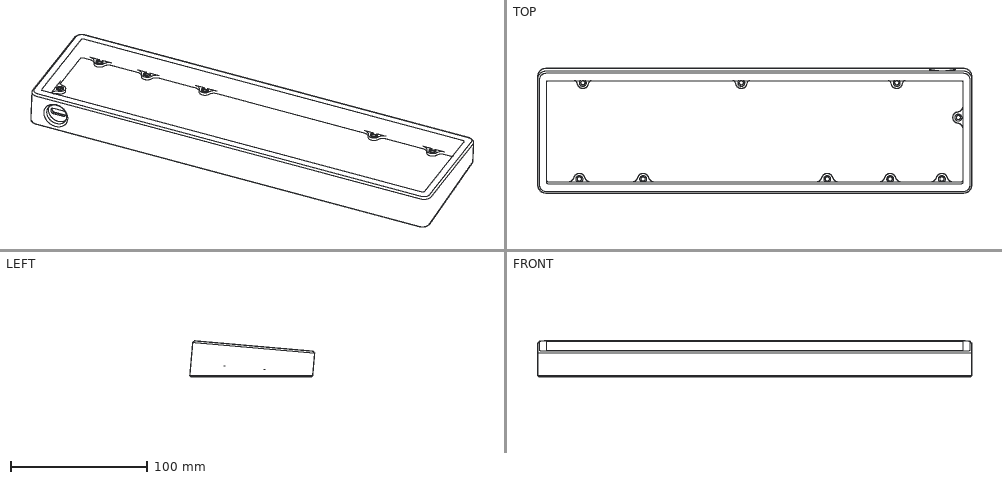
import cadquery as cq
import math


LENGTH = 319.2
OVERALL_HEIGHT = 26.5
OVERALL_DEPTH = 92.0
TILT = 5.0
CORNER_RADIUS = 6.0
RIM_CHAMFER = 1.45
BOTTOM_CHAMFER = 1.0

SIDE_WALL = 6.5
END_WALL = 7.0
CAVITY_DEPTH = 16.5
CAVITY_RADIUS = 1.5

BOSS_RADIUS = 4.0
BOSS_HEIGHT = 2.2
FRONT_OFFSET = 2.2
BACK_OFFSET = 3.0
RIGHT_OFFSET = 3.5
BLEND_RADIUS = 4.8
HOLE_DIAMETER = 3.1
COUNTERBORE_DIAMETER = 5.0
COUNTERBORE_DEPTH = 1.0
BACK_BOSSES = (-126.5, -10.0, 104.5)
FRONT_BOSSES = (-129.0, -82.0, 53.3, 99.5, 137.5)
RIGHT_BOSS_Y = 9.5

PORT_X = 138.0
PORT_WIDTH = 12.0
PORT_HEIGHT = 4.8
PORT_ABOVE_FLOOR = 3.0
RECESS_DIAMETER = 16.0
RECESS_DEPTH = 4.8
RECESS_CHAMFER = 1.5

OVERLAP = 1.5
tilt = math.radians(TILT)
DEPTH = (
    OVERALL_DEPTH
    + (RIM_CHAMFER + BOTTOM_CHAMFER) * math.sin(tilt)
    - (OVERALL_HEIGHT + RIM_CHAMFER * math.sin(tilt)) * math.tan(tilt)
) / math.cos(tilt)
rim_back_rise = (DEPTH / 2 - RIM_CHAMFER) * math.sin(tilt)
rim_centre_height = OVERALL_HEIGHT - rim_back_rise
CAVITY_LENGTH = LENGTH - 2 * SIDE_WALL
CAVITY_WIDTH = DEPTH - 2 * END_WALL


def outer_body():
    """Rounded block with a chamfered rim, tall enough to pass below the flat bottom."""
    block_height = 2 * OVERALL_HEIGHT
    return (
        cq.Workplane("XY")
        .workplane(offset=-block_height)
        .rect(LENGTH, DEPTH)
        .extrude(block_height)
        .edges("|Z").fillet(CORNER_RADIUS)
        .faces(">Z").chamfer(RIM_CHAMFER)
    )


def cavity():
    return (
        cq.Workplane("XY")
        .workplane(offset=-CAVITY_DEPTH)
        .rect(CAVITY_LENGTH, CAVITY_WIDTH)
        .extrude(CAVITY_DEPTH)
        .edges("|Z").fillet(CAVITY_RADIUS)
    )


def boss(wall_offset):
    """Boss at the origin on z = 0, flaring smoothly into a wall at y = -wall_offset."""
    wall_y = -wall_offset
    blend_y = wall_y + BLEND_RADIUS
    centre_distance = BOSS_RADIUS + BLEND_RADIUS
    blend_x = math.sqrt(centre_distance**2 - blend_y**2)
    touch_x = blend_x * BOSS_RADIUS / centre_distance
    touch_y = blend_y * BOSS_RADIUS / centre_distance
    start_angle = math.atan2(-blend_y, -blend_x)
    mid_angle = (start_angle - math.pi / 2) / 2
    mid_x = blend_x + BLEND_RADIUS * math.cos(mid_angle)
    mid_y = blend_y + BLEND_RADIUS * math.sin(mid_angle)
    back_y = wall_y - OVERLAP
    return (
        cq.Workplane("XY")
        .moveTo(-blend_x, back_y)
        .lineTo(blend_x, back_y)
        .lineTo(blend_x, wall_y)
        .threePointArc((mid_x, mid_y), (touch_x, touch_y))
        .threePointArc((0, BOSS_RADIUS), (-touch_x, touch_y))
        .threePointArc((-mid_x, mid_y), (-blend_x, wall_y))
        .close()
        .extrude(BOSS_HEIGHT)
        .faces(">Z").workplane(origin=(0, 0, BOSS_HEIGHT))
        .cboreHole(HOLE_DIAMETER, COUNTERBORE_DIAMETER, COUNTERBORE_DEPTH)
    )


def place_boss(x, y, wall_offset, turn):
    return boss(wall_offset).rotate((0, 0, 0), (0, 0, 1), turn).translate((x, y, -CAVITY_DEPTH))


def add_bosses(tray):
    front_y = FRONT_OFFSET - CAVITY_WIDTH / 2
    back_y = CAVITY_WIDTH / 2 - BACK_OFFSET
    right_x = CAVITY_LENGTH / 2 - RIGHT_OFFSET
    for x in FRONT_BOSSES:
        tray = tray.union(place_boss(x, front_y, FRONT_OFFSET, 0))
    for x in BACK_BOSSES:
        tray = tray.union(place_boss(x, back_y, BACK_OFFSET, 180))
    return tray.union(place_boss(right_x, RIGHT_BOSS_Y, RIGHT_OFFSET, 90))


def cable_port():
    """Rounded slot through the back wall, opening into a chamfered round recess outside."""
    centre = (PORT_X, DEPTH / 2, PORT_ABOVE_FLOOR - CAVITY_DEPTH)
    back_face = cq.Workplane("XZ", origin=centre)
    slot = back_face.slot2D(PORT_WIDTH, PORT_HEIGHT).extrude(END_WALL + OVERLAP)
    recess = back_face.circle(RECESS_DIAMETER / 2).extrude(RECESS_DEPTH)
    mouth_radius = RECESS_DIAMETER / 2 + RECESS_CHAMFER
    mouth = back_face.circle(mouth_radius).extrude(RECESS_CHAMFER, taper=45)
    return slot.union(recess).union(mouth)


def tilt_and_trim(tray):
    """Tilt the tray, raise it to its full height and cut it flat at z = 0."""
    tilted = tray.rotate((0, 0, 0), (1, 0, 0), TILT).translate((0, 0, rim_centre_height))
    keep = cq.Workplane("XY").box(2 * LENGTH, 2 * DEPTH, 2 * OVERALL_HEIGHT, centered=(True, True, False))
    return tilted.intersect(keep).faces("<Z").chamfer(BOTTOM_CHAMFER)


tray = add_bosses(outer_body().cut(cavity())).cut(cable_port())
result = tilt_and_trim(tray)